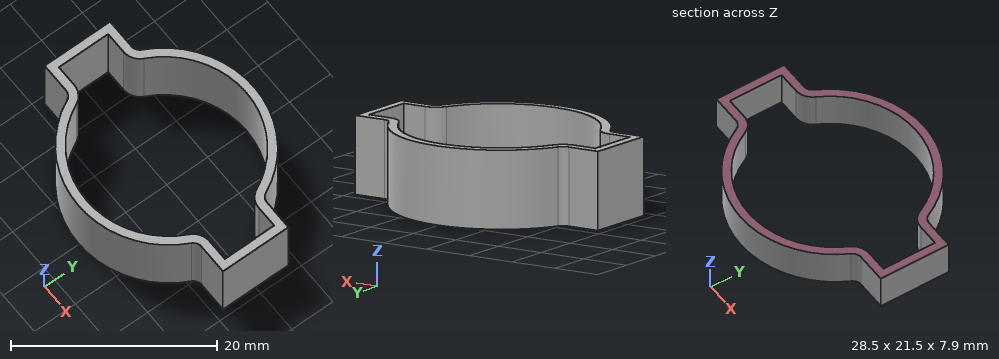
import cadquery as cq

length = 28.5
ring_height_y = 21.5
tab_width = 8.0
height = 7.9
wall = 1.0
bow_offset = 0.28
neck_radius = 1.0

bow_radius = ring_height_y / 2 + bow_offset


def filled_outline(inset, blend_radius):
    """Solid lens of two bows crossed by a rectangular bar, blended where they meet."""
    plan = cq.Workplane("XY")
    upper_disc = plan.center(0, -bow_offset).circle(bow_radius - inset).extrude(height)
    lower_disc = plan.center(0, bow_offset).circle(bow_radius - inset).extrude(height)
    lens = upper_disc.intersect(lower_disc)
    bar = plan.rect(length - 2 * inset, tab_width - 2 * inset).extrude(height)
    body = lens.union(bar)
    neck_half_length = length / 2 - 2 * wall
    neck_zone = cq.selectors.BoxSelector(
        (-neck_half_length, -tab_width, 0),
        (neck_half_length, tab_width, height),
    )
    return body.edges("|Z").edges(neck_zone).fillet(blend_radius)


outside = filled_outline(0, neck_radius)
opening = filled_outline(wall, neck_radius + wall)
result = outside.cut(opening)